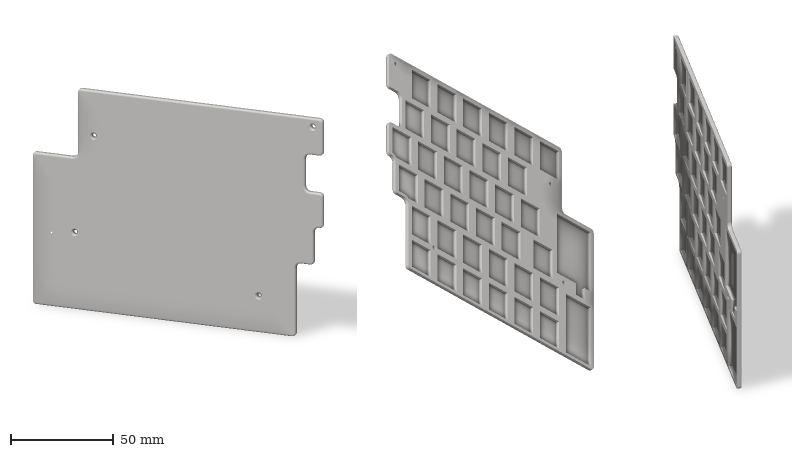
import cadquery as cq
LENGTH = 152.0
THICKNESS = 2.5
HEIGHT = 114.3
RIGHT = LENGTH / 2
LEFT = -RIGHT
TOP = HEIGHT / 2
BOTTOM = -TOP
FRONT = -THICKNESS / 2
BACK = THICKNESS / 2

UPPER_LEFT_X = -52.3
LEDGE_Z = 21.5
NOTCH_X = 66.6
NOTCH_TOP_Z = 38.2
NOTCH_BOTTOM_Z = 18.7
SHOULDER_X = 71.1
SHOULDER_TOP_Z = 0.6
SHOULDER_BOTTOM_Z = -18.8
LOWER_RIGHT_X = 61.7
OUTER_RADIUS = 1.8
INNER_RADIUS = 2.9
RIM_RADIUS = 1.0

SCREW_DIAMETER = 2.1
COUNTERSINK_DIAMETER = 3.8
COUNTERSINK_ANGLE = 90
SCREW_CENTERS = [(-44.0, 33.7), (71.0, 52.7), (-53.8, -17.3), (42.5, -38.2)]
PIN_DIAMETER = 1.0
PIN_X = -66.0
PIN_Z = -19.0

FLOOR = 0.4
POCKET_DEPTH = THICKNESS - FLOOR
WALL = 1.5

KEY_PITCH = 19.05
KEY_WIDTH = 14.0
KEY_HEIGHT = 16.0
FIRST_KEY_X = 52.1
FIRST_KEY_Z = 46.7
KEY_ROWS = [
    [0, 1, 2, 3, 4, 5],
    [-0.25, 0.75, 1.75, 2.75, 3.75],
    [-0.75, 0.25, 1.25, 2.25, 3.25, 4.25],
    [-0.5, 0.5, 1.5, 2.5, 3.5, 4.75],
    [0, 1, 2, 3, 4, 5],
    [0, 1, 2, 3, 4, 5],
]

COMPONENT_LEFT_X = -73.7
UPPER_POCKET_RIGHT_X = -48.6
UPPER_POCKET_TOP_Z = 19.3
UPPER_POCKET_BOTTOM_Z = -13.8
LOWER_POCKET_RIGHT_X = -55.2
LOWER_POCKET_TOP_Z = -22.8
RESET_POCKET_WIDTH = 6.4
RESET_POCKET_BOTTOM_Z = -20.2

OUTER_CORNERS = [
    (LEFT, BOTTOM),
    (LEFT, LEDGE_Z),
    (UPPER_LEFT_X, TOP),
    (RIGHT, TOP),
    (RIGHT, NOTCH_TOP_Z),
    (RIGHT, NOTCH_BOTTOM_Z),
    (RIGHT, SHOULDER_TOP_Z),
    (SHOULDER_X, SHOULDER_BOTTOM_Z),
    (LOWER_RIGHT_X, BOTTOM),
]
INNER_CORNERS = [
    (UPPER_LEFT_X, LEDGE_Z),
    (NOTCH_X, NOTCH_TOP_Z),
    (NOTCH_X, NOTCH_BOTTOM_Z),
    (SHOULDER_X, SHOULDER_TOP_Z),
    (LOWER_RIGHT_X, SHOULDER_BOTTOM_Z),
]


def back_plane():
    """Work plane on the back face; extrusion runs toward the front."""
    return cq.Workplane("XZ", origin=(0, BACK, 0))


def corner_edges(plate, corners):
    """Thickness-wise edges of the plate at the given (x, z) corners."""
    midpoints = [cq.Vector(x, 0, z) for x, z in corners]
    tolerance = 0.02
    return plate.edges("|Y").filter(
        lambda edge: any((edge.Center() - point).Length < tolerance for point in midpoints)
    )


def make_blank():
    """Plate with rounded outline corners and square front and back edges."""
    blank = (
        back_plane()
        .moveTo(LEFT, BOTTOM)
        .lineTo(LEFT, LEDGE_Z)
        .lineTo(UPPER_LEFT_X, LEDGE_Z)
        .lineTo(UPPER_LEFT_X, TOP)
        .lineTo(RIGHT, TOP)
        .lineTo(RIGHT, NOTCH_TOP_Z)
        .lineTo(NOTCH_X, NOTCH_TOP_Z)
        .lineTo(NOTCH_X, NOTCH_BOTTOM_Z)
        .lineTo(RIGHT, NOTCH_BOTTOM_Z)
        .lineTo(RIGHT, SHOULDER_TOP_Z)
        .lineTo(SHOULDER_X, SHOULDER_TOP_Z)
        .lineTo(SHOULDER_X, SHOULDER_BOTTOM_Z)
        .lineTo(LOWER_RIGHT_X, SHOULDER_BOTTOM_Z)
        .lineTo(LOWER_RIGHT_X, BOTTOM)
        .close()
        .extrude(THICKNESS)
    )
    blank = corner_edges(blank, INNER_CORNERS).fillet(INNER_RADIUS)
    return corner_edges(blank, OUTER_CORNERS).fillet(OUTER_RADIUS)


def inside_walls(blank):
    """Space open to pockets: the outline moved inward by the wall."""
    outline = blank.faces(">Y").wires().vals()
    return back_plane().add(outline).toPending().offset2D(-WALL).extrude(POCKET_DEPTH)


def box_pocket(left, right, bottom, top):
    center_x = (left + right) / 2
    center_z = (bottom + top) / 2
    return back_plane().center(center_x, center_z).rect(right - left, top - bottom).extrude(POCKET_DEPTH)


def key_pockets():
    centers = [
        (FIRST_KEY_X - offset * KEY_PITCH, FIRST_KEY_Z - row * KEY_PITCH)
        for row, offsets in enumerate(KEY_ROWS)
        for offset in offsets
    ]
    return back_plane().pushPoints(centers).rect(KEY_WIDTH, KEY_HEIGHT).extrude(POCKET_DEPTH)


def component_pockets():
    upper = box_pocket(COMPONENT_LEFT_X, UPPER_POCKET_RIGHT_X, UPPER_POCKET_BOTTOM_Z, UPPER_POCKET_TOP_Z)
    lower = box_pocket(COMPONENT_LEFT_X, LOWER_POCKET_RIGHT_X, BOTTOM, LOWER_POCKET_TOP_Z)
    reset = box_pocket(
        PIN_X - RESET_POCKET_WIDTH / 2,
        PIN_X + RESET_POCKET_WIDTH / 2,
        RESET_POCKET_BOTTOM_Z,
        UPPER_POCKET_BOTTOM_Z,
    )
    return upper.union(reset).union(lower)


def drill_holes(plate):
    front_plane = cq.Workplane("XZ", origin=(0, FRONT, 0))
    screws = plate.copyWorkplane(front_plane).pushPoints(SCREW_CENTERS)
    plate = screws.cskHole(SCREW_DIAMETER, COUNTERSINK_DIAMETER, COUNTERSINK_ANGLE)
    return plate.copyWorkplane(front_plane).pushPoints([(PIN_X, PIN_Z)]).hole(PIN_DIAMETER)


blank = make_blank()
pockets = key_pockets().union(component_pockets()).intersect(inside_walls(blank))
plate = blank.faces("<Y").edges().fillet(RIM_RADIUS).cut(pockets)
result = drill_holes(plate)